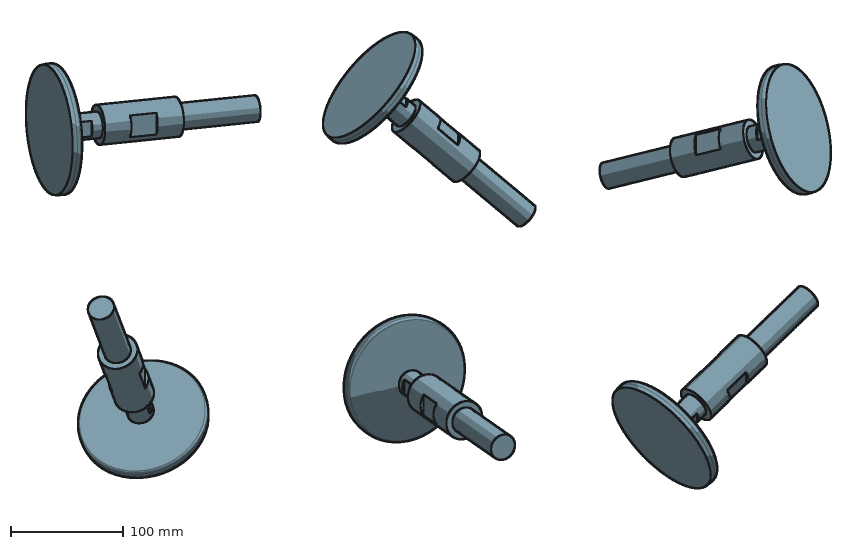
import cadquery as cq

TOTAL_LENGTH = 197.0

PLATE_DIAMETER = 118.0
PLATE_BOTTOM_DIAMETER = 117.0
TAPER_HEIGHT = 4.3
RIM_TOP = 9.5
PLATE_HEIGHT = 17.3
RIM_FILLET = 2.4

SPINDLE_DIAMETER = 24.0
SPINDLE_ACROSS_FLATS = 19.3
SPINDLE_FLAT_START = 24.0
SPINDLE_FLAT_LENGTH = 12.6

SLEEVE_DIAMETER = 36.0
SLEEVE_START = 46.5
SLEEVE_LENGTH = 75.0
SLEEVE_ACROSS_FLATS = 30.0
SLEEVE_FLAT_LENGTH = SLEEVE_LENGTH / 3
SLEEVE_FLAT_START = SLEEVE_START + (SLEEVE_LENGTH - SLEEVE_FLAT_LENGTH) / 2


def cylinder(diameter, start, length):
    """Cylinder about the Y axis, from Y = start towards +Y."""
    plane = cq.Plane(origin=(0, start, 0), xDir=(1, 0, 0), normal=(0, 1, 0))
    return cq.Workplane(plane).circle(diameter / 2).extrude(length)


def cut_wrench_flats(body, diameter, across_flats, start, length):
    """Cut two opposite flats, facing -X and +X, into a round body."""
    for side in (-1, 1):
        cutter = (
            cq.Workplane("XY")
            .box(diameter, length, 2 * diameter)
            .translate((side * (across_flats + diameter) / 2, start + length / 2, 0))
        )
        body = body.cut(cutter)
    return body


def make_plate():
    """Round plate with a tapered lower edge, a rounded rim and a conical top."""
    profile = (
        cq.Workplane("XY")
        .lineTo(PLATE_BOTTOM_DIAMETER / 2, 0)
        .lineTo(PLATE_DIAMETER / 2, TAPER_HEIGHT)
        .lineTo(PLATE_DIAMETER / 2, RIM_TOP)
        .lineTo(SPINDLE_DIAMETER / 2, PLATE_HEIGHT)
        .lineTo(0, PLATE_HEIGHT)
        .close()
    )
    plate = profile.revolve(360, (0, 0, 0), (0, 1, 0))
    rim_centre = (0, RIM_TOP, 0)
    rim_edge = plate.edges("%CIRCLE").edges(cq.selectors.NearestToPointSelector(rim_centre))
    return rim_edge.fillet(RIM_FILLET)


def make_foot():
    """Plate and spindle in one piece, with wrench flats just above the plate."""
    spindle = cylinder(SPINDLE_DIAMETER, PLATE_HEIGHT, TOTAL_LENGTH - PLATE_HEIGHT)
    spindle = cut_wrench_flats(
        spindle, SPINDLE_DIAMETER, SPINDLE_ACROSS_FLATS, SPINDLE_FLAT_START, SPINDLE_FLAT_LENGTH
    )
    return make_plate().union(spindle)


def make_sleeve():
    """Sleeve fitting closely around the spindle, with wrench flats at mid-length."""
    sleeve = cylinder(SLEEVE_DIAMETER, SLEEVE_START, SLEEVE_LENGTH)
    bore = cylinder(SPINDLE_DIAMETER, SLEEVE_START, SLEEVE_LENGTH)
    return cut_wrench_flats(
        sleeve.cut(bore), SLEEVE_DIAMETER, SLEEVE_ACROSS_FLATS, SLEEVE_FLAT_START, SLEEVE_FLAT_LENGTH
    )


foot = make_foot()
sleeve = make_sleeve()
result = cq.Compound.makeCompound([foot.val(), sleeve.val()])